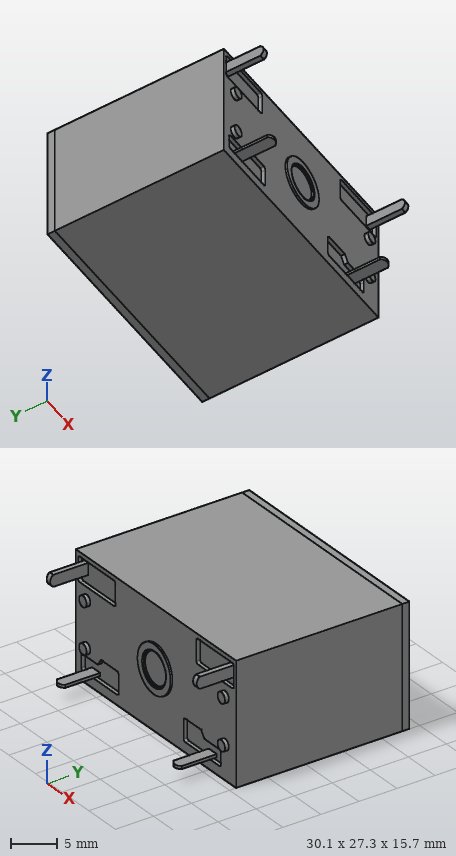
import cadquery as cq


WIDTH = 30.1
HEIGHT = 15.7
TOTAL_DEPTH = 27.3
PIN_REACH = 4.5
BACK_PLATE_THICKNESS = 0.95
CASE_DEPTH = TOTAL_DEPTH - PIN_REACH - BACK_PLATE_THICKNESS

POCKET_DEPTH = 0.5
POCKET_WIDTH = 7.0
POCKET_CORNER_RADIUS = 0.3

UPPER_POCKET_HEIGHT = 3.15
UPPER_POCKET_X = 11.1
UPPER_POCKET_Z = 5.7

LOWER_POCKET_LEFT_OUTER_X = -14.0
LOWER_POCKET_RIGHT_OUTER_X = 12.2
LOWER_POCKET_BOTTOM_Z = -6.55
LOWER_POCKET_HEIGHT = 2.9
LOWER_POCKET_STEP_HEIGHT = 2.05
LOWER_POCKET_STEP_START = 3.1
LOWER_POCKET_STEP_RUN = 0.6

PIN_WIDTH = 1.5
PIN_TIP_RISE = 0.4
PIN_LENGTH = PIN_REACH + POCKET_DEPTH
UPPER_PIN_THICKNESS = 0.7
UPPER_PIN_X = 13.75
LOWER_PIN_THICKNESS = 0.4
LOWER_PIN_XS = (-11.93, 9.97)
PIN_ROW_Z = 6.0

BUMP_DIAMETER = 1.4
BUMP_HEIGHT = 0.5
BUMP_X = 13.0
BUMP_ZS = (2.5, -3.4)

RING_DIAMETER = 6.2
RING_HEIGHT = 0.25
RECESS_MOUTH_DIAMETER = 4.5
RECESS_WAIST_DIAMETER = 4.2
RECESS_FLOOR_DIAMETER = 4.0
RECESS_MOUTH_TAPER_DEPTH = 0.1
RECESS_FLOOR_TAPER_DEPTH = RING_HEIGHT - RECESS_MOUTH_TAPER_DEPTH


def face_plane(y):
    """Plane parallel to the terminal face: local axes are X and Z, normal is -Y."""
    return cq.Workplane("XZ", origin=(0, y, 0))


def upper_pocket(side):
    return (
        face_plane(POCKET_DEPTH)
        .center(side * UPPER_POCKET_X, UPPER_POCKET_Z)
        .rect(POCKET_WIDTH, UPPER_POCKET_HEIGHT)
        .extrude(POCKET_DEPTH)
        .edges("|Y")
        .fillet(POCKET_CORNER_RADIUS)
    )


def lower_pocket(outer_x, inward):
    """Stepped pocket that runs from outer_x toward the case centre (inward is +1 or -1)."""
    step_start_x = outer_x + inward * LOWER_POCKET_STEP_START
    step_end_x = step_start_x + inward * LOWER_POCKET_STEP_RUN
    inner_x = outer_x + inward * POCKET_WIDTH
    step_z = LOWER_POCKET_BOTTOM_Z + LOWER_POCKET_STEP_HEIGHT
    top_z = LOWER_POCKET_BOTTOM_Z + LOWER_POCKET_HEIGHT
    outline = [
        (outer_x, LOWER_POCKET_BOTTOM_Z),
        (inner_x, LOWER_POCKET_BOTTOM_Z),
        (inner_x, top_z),
        (step_end_x, top_z),
        (step_start_x, step_z),
        (outer_x, step_z),
    ]
    pocket = face_plane(POCKET_DEPTH).polyline(outline).close().extrude(POCKET_DEPTH)
    outer_and_inner_sides = pocket.faces("<X or >X")
    return outer_and_inner_sides.edges("|Y").fillet(POCKET_CORNER_RADIUS)


def make_case():
    case = face_plane(CASE_DEPTH).rect(WIDTH, HEIGHT).extrude(CASE_DEPTH)

    for side in (-1, 1):
        case = case.cut(upper_pocket(side))
    case = case.cut(lower_pocket(LOWER_POCKET_LEFT_OUTER_X, 1))
    case = case.cut(lower_pocket(LOWER_POCKET_RIGHT_OUTER_X, -1))

    bump_centres = [(side * BUMP_X, z) for side in (-1, 1) for z in BUMP_ZS]
    bumps = face_plane(0).pushPoints(bump_centres).circle(BUMP_DIAMETER / 2).extrude(BUMP_HEIGHT)
    ring = face_plane(0).circle(RING_DIAMETER / 2).extrude(RING_HEIGHT)
    recess = (
        face_plane(-RING_HEIGHT)
        .circle(RECESS_MOUTH_DIAMETER / 2)
        .workplane(offset=-RECESS_MOUTH_TAPER_DEPTH)
        .circle(RECESS_WAIST_DIAMETER / 2)
        .workplane(offset=-RECESS_FLOOR_TAPER_DEPTH)
        .circle(RECESS_FLOOR_DIAMETER / 2)
        .loft(ruled=True)
    )
    return case.union(bumps).union(ring).cut(recess)


def make_back_plate():
    return face_plane(CASE_DEPTH + BACK_PLATE_THICKNESS).rect(WIDTH, HEIGHT).extrude(BACK_PLATE_THICKNESS)


def make_pin(plane, thickness):
    """Flat pin with an arched tip; local x is across the pin and local y runs along it."""
    half_width = PIN_WIDTH / 2
    shoulder = PIN_LENGTH - PIN_TIP_RISE
    return (
        cq.Workplane(plane)
        .moveTo(-half_width, 0)
        .lineTo(-half_width, shoulder)
        .threePointArc((0, PIN_LENGTH), (half_width, shoulder))
        .lineTo(half_width, 0)
        .close()
        .extrude(thickness / 2, both=True)
    )


def make_upper_pin(x):
    """Pin standing on edge: wide along Z, thin along X."""
    root = cq.Plane(origin=(x, POCKET_DEPTH, PIN_ROW_Z), xDir=(0, 0, 1), normal=(1, 0, 0))
    return make_pin(root, UPPER_PIN_THICKNESS)


def make_lower_pin(x):
    """Pin lying flat: wide along X, thin along Z."""
    root = cq.Plane(origin=(x, POCKET_DEPTH, -PIN_ROW_Z), xDir=(1, 0, 0), normal=(0, 0, -1))
    return make_pin(root, LOWER_PIN_THICKNESS)


case = make_case()
back_plate = make_back_plate()
upper_pins = [make_upper_pin(side * UPPER_PIN_X) for side in (-1, 1)]
lower_pins = [make_lower_pin(x) for x in LOWER_PIN_XS]

result = cq.Compound.makeCompound(
    [case.val(), back_plate.val()] + [pin.val() for pin in upper_pins + lower_pins]
)